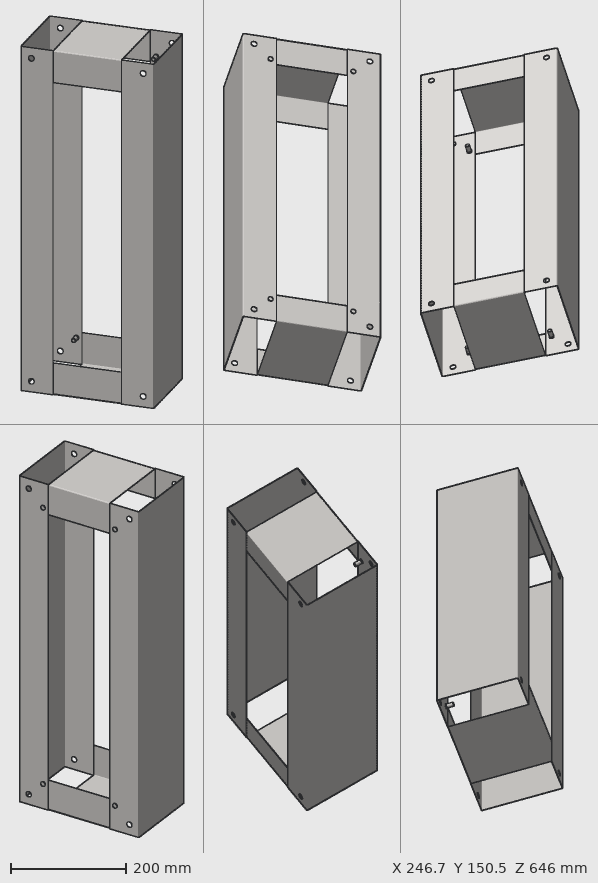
import cadquery as cq

frame_width = 246.7
frame_depth = 150.0
frame_height = 646.0

sheet = 1.5
inner_bend_radius = 1.0
outer_bend_radius = inner_bend_radius + sheet
flange = 60.0

joint_gap = 0.25
end_channel_length = frame_width - 2 * (flange + joint_gap)

mounting_hole_diameter = 10.5
mounting_hole_inset_x = 20.0
mounting_hole_inset_z = 20.0
mounting_hole_spacing_x = frame_width - 2 * mounting_hole_inset_x
mounting_hole_spacing_z = frame_height - 2 * mounting_hole_inset_z

stud_diameter = 8.0
stud_length = 16.0
stud_chamfer = 1.0
collar_diameter = 9.0
collar_inner_height = 1.5
collar_outer_height = 0.5
collar_length = collar_inner_height + sheet + collar_outer_height
stud_spacing_x = 147.7
stud_spacing_z = 548.0

frame_center_y = -collar_outer_height / 2
frame_rear_y = frame_center_y + frame_depth / 2
stud_rear_y = frame_rear_y + collar_outer_height


def bent_block(size_x, size_y, length, radius):
    """Block along Z that starts at x = 0, with its two edges at x = 0 rounded."""
    block = cq.Workplane("XY").box(size_x, size_y, length, centered=(False, True, True))
    return block.edges("|Z and <X").fillet(radius)


def channel(length):
    """Folded U channel along Z: the web's outer face at x = 0, the flanges toward +X."""
    outside = bent_block(flange, frame_depth, length, outer_bend_radius)
    inside = bent_block(flange, frame_depth - 2 * sheet, length, inner_bend_radius)
    return outside.cut(inside.translate((sheet, 0, 0)))


def bores_along_y(spacing_x, spacing_z, diameter, start_y, end_y):
    """Four cylinders along Y at the corners of a rectangle centred on the Y axis."""
    return (
        cq.Workplane("XZ", origin=(0, end_y, 0))
        .rect(spacing_x, spacing_z, forConstruction=True)
        .vertices()
        .circle(diameter / 2)
        .extrude(end_y - start_y)
    )


def side_channel():
    """Left side channel, with mounting holes in both flanges and stud holes in the rear one."""
    mounting_holes = bores_along_y(
        mounting_hole_spacing_x, mounting_hole_spacing_z, mounting_hole_diameter, -frame_depth, frame_depth
    )
    stud_holes = bores_along_y(stud_spacing_x, stud_spacing_z, collar_diameter, 0, frame_depth)
    blank = channel(frame_height).translate((-frame_width / 2, frame_center_y, 0))
    return blank.cut(mounting_holes).cut(stud_holes)


def end_channel():
    """Top end channel, with its web on top and its flanges hanging between the side channels."""
    web_up = channel(end_channel_length).rotate((0, 0, 0), (0, 1, 0), 90)
    return web_up.translate((0, frame_center_y, frame_height / 2))


def stud(x, z):
    """Stud with a collar through the rear flange and a chamfered shank toward the front."""
    rear_plane = cq.Workplane("XZ", origin=(x, stud_rear_y, z))
    shank = rear_plane.circle(stud_diameter / 2).extrude(stud_length).faces("<Y").chamfer(stud_chamfer)
    collar = rear_plane.circle(collar_diameter / 2).extrude(collar_length)
    return collar.union(shank)


left_channel = side_channel()
right_channel = left_channel.mirror("YZ")
top_channel = end_channel()
bottom_channel = top_channel.mirror("XY")

studs = []
for side_x in (-1, 1):
    for side_z in (-1, 1):
        studs.append(stud(side_x * stud_spacing_x / 2, side_z * stud_spacing_z / 2))

result = cq.Compound.makeCompound(
    [
        left_channel.val(),
        right_channel.val(),
        top_channel.val(),
        bottom_channel.val(),
        *[one_stud.val() for one_stud in studs],
    ]
)